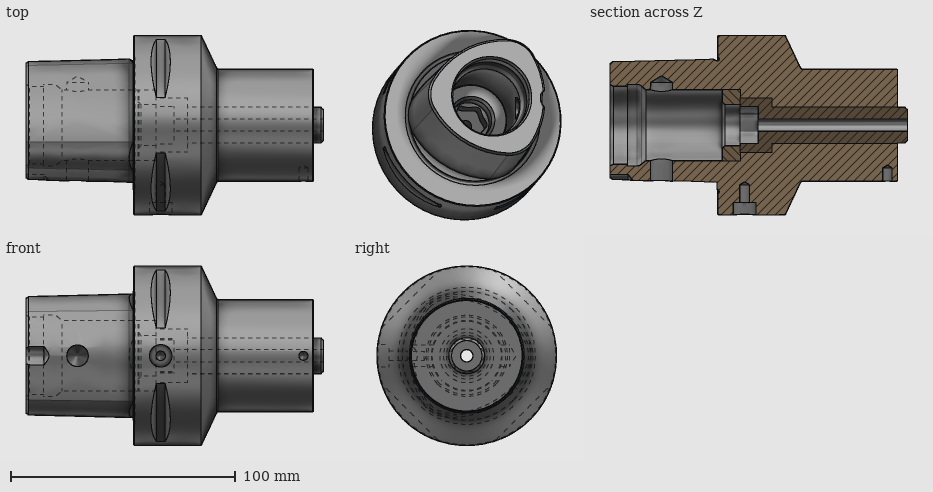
import cadquery as cq
import math

SHANK_END = 46.0
FLANGE_FACE = 48.0
FLANGE_BACK = 78.0
CONE_END = 84.8
NOSE_FACE = 128.0
BOLT_END = 132.5

SHANK_WIDTH = 55.0
LOBE_RISE = 2.0
SHANK_TAPER = 0.05
SHANK_CHAMFER_LENGTH = 1.2
SHANK_CHAMFER_DEPTH = 0.9

FLANGE_RADIUS = 40.0
FLANGE_CHAMFER = 0.4
NOSE_RADIUS = 25.0
NOSE_CHAMFER = 0.4
CONE_FOOT_HEIGHT = 0.6
CONE_FOOT_LENGTH = 0.7

ROOT_RING_RADIUS = 28.6
ROOT_RING_FACE = 47.6
NECK_TIP_RADIUS = SHANK_WIDTH / 2 + LOBE_RISE
RELIEF_RADIUS = 1.0
RELIEF_CENTRE_RADIUS = ROOT_RING_RADIUS + RELIEF_RADIUS

MOUTH_RADIUS = 18.1
MOUTH_DEPTH = 1.7
ENTRY_RADIUS = 17.3
GROOVE_START = 7.9
GROOVE_RADIUS = 18.1
GROOVE_FILLET = 3.0
GROOVE_END = 13.2
SEAT_CONE_ANGLE = 40.0
BORE_RADIUS = 15.75

RING_FACE = 50.0
RING_LENGTH = 8.0
RING_BACK = RING_FACE + RING_LENGTH
RING_EDGE_CHAMFER = 0.35
RING_HOLE_RADIUS = 9.1
RING_HOLE_CHAMFER = 1.25

HEAD_RADIUS = 12.0
HEAD_LENGTH = 14.0
HEAD_BACK = RING_BACK + HEAD_LENGTH
STEM_RADIUS = 8.0
STEM_CHAMFER = 1.25
COOLANT_RADIUS = 2.7
SOCKET_MEAN_RADIUS = 7.7
SOCKET_WAVE = 0.6
SOCKET_LOBES = 6
SOCKET_DEPTH = 8.0
BOLT_TURN = 65.0

GRIP_X = 60.0
GRIP_FLOOR_DISTANCE = 35.6
GRIP_FLOOR_WIDTH = 3.9
GRIP_WALL_ANGLE = 28.0
GRIP_COUNT = 4

DRILL_TIP_ANGLE = 118.0
CROSS_HOLE_X = 23.0
CROSS_HOLE_RADIUS = 4.8
CROSS_HOLE_END_Y = 19.0
POCKET_RADIUS = 5.0
POCKET_DEPTH = 5.5
PILOT_RADIUS = 2.1
PILOT_DEPTH = 8.0
NOSE_HOLE_X = 123.5
NOSE_HOLE_RADIUS = 2.0
NOSE_HOLE_DEPTH = 6.0

NOTCH_RADIUS = 4.8
NOTCH_Y = -26.8
NOTCH_LENGTH = 8.1
NOTCH_TIP_ANGLE = 100.0


def turned(profile):
    """Revolve a closed (x, radius) sketch in the XZ plane about the X axis."""
    return profile.close().revolve(360, (0, 0, 0), (1, 0, 0))


def turned_points(points):
    return turned(cq.Workplane("XZ").polyline(points))


def ring_edge(x, radius):
    """Selector for the circular edges of about this radius lying in the plane at x."""
    margin = 0.1
    half_box = radius + margin
    return cq.selectors.BoxSelector(
        (x - margin, -half_box, -half_box),
        (x + margin, half_box, half_box),
        boundingbox=True,
    )


def lobed_outline(plane, width):
    """Constant-width outline with three lobes, the first pointing to +Y."""
    lobe_centre = 2 * LOBE_RISE / (2 - math.sqrt(3))
    lobe_radius = width / 2 + LOBE_RISE - lobe_centre
    flank_distance = width / 2 - LOBE_RISE

    def polar(radius, degrees):
        angle = math.radians(degrees)
        return (radius * math.cos(angle), radius * math.sin(angle))

    def on_lobe(axis, degrees):
        centre = polar(lobe_centre, axis)
        offset = polar(lobe_radius, degrees)
        return (centre[0] + offset[0], centre[1] + offset[1])

    outline = plane.moveTo(*on_lobe(0, -30))
    for axis in (0, 120, 240):
        outline = outline.threePointArc(on_lobe(axis, axis), on_lobe(axis, axis + 30))
        outline = outline.threePointArc(polar(flank_distance, axis + 60), on_lobe(axis + 120, axis + 90))
    return outline.close()


def lobed_frustum(start, start_width, end, end_width):
    front = lobed_outline(cq.Workplane("YZ").workplane(offset=start), start_width)
    return lobed_outline(front.workplane(offset=end - start), end_width).loft(ruled=True)


def drill(radius, length, tip_angle=DRILL_TIP_ANGLE):
    """Drill along +Z from the origin: full diameter for `length`, then a cone."""
    tip = radius / math.tan(math.radians(tip_angle / 2))
    outline = cq.Workplane("XZ").polyline([(0, 0), (radius, 0), (radius, length), (0, length + tip)])
    return outline.close().revolve(360, (0, 0, 0), (0, 1, 0))


def drill_from_front(radius, length, x, y):
    """Drill pointing to +Y, starting at (x, y)."""
    return drill(radius, length).rotate((0, 0, 0), (1, 0, 0), -90).translate((x, y, 0))


def shank():
    """Tapered shank with a chamfered face and a neck whose lobes blend into the root ring."""
    face_width = SHANK_WIDTH - SHANK_TAPER * SHANK_END
    chamfer_width = face_width + SHANK_TAPER * SHANK_CHAMFER_LENGTH
    nose = lobed_frustum(0, chamfer_width - 2 * SHANK_CHAMFER_DEPTH, SHANK_CHAMFER_LENGTH, chamfer_width)
    taper = lobed_frustum(SHANK_CHAMFER_LENGTH, chamfer_width, SHANK_END, SHANK_WIDTH)
    neck = lobed_frustum(SHANK_END, SHANK_WIDTH, FLANGE_FACE, SHANK_WIDTH)
    neck_limit = turned_points([
        (SHANK_END, 0),
        (SHANK_END, NECK_TIP_RADIUS),
        (ROOT_RING_FACE, ROOT_RING_RADIUS),
        (FLANGE_FACE, ROOT_RING_RADIUS),
        (FLANGE_FACE, 0),
    ])
    return nose.union(taper).union(neck.intersect(neck_limit))


def flange_and_nose():
    """Flange, cone and nose, with the relief groove and raised ring on the flange face."""
    body = turned_points([
        (FLANGE_FACE, 0),
        (FLANGE_FACE, FLANGE_RADIUS - FLANGE_CHAMFER),
        (FLANGE_FACE + FLANGE_CHAMFER, FLANGE_RADIUS),
        (FLANGE_BACK, FLANGE_RADIUS),
        (CONE_END, NOSE_RADIUS + CONE_FOOT_HEIGHT),
        (CONE_END + CONE_FOOT_LENGTH, NOSE_RADIUS),
        (NOSE_FACE - NOSE_CHAMFER, NOSE_RADIUS),
        (NOSE_FACE, NOSE_RADIUS - NOSE_CHAMFER),
        (NOSE_FACE, 0),
    ])
    root_ring = cq.Workplane("YZ").workplane(offset=ROOT_RING_FACE).circle(ROOT_RING_RADIUS)
    root_ring = root_ring.extrude(FLANGE_FACE - ROOT_RING_FACE)
    relief = turned(
        cq.Workplane("XZ")
        .moveTo(ROOT_RING_FACE, RELIEF_CENTRE_RADIUS - RELIEF_RADIUS)
        .threePointArc(
            (ROOT_RING_FACE + RELIEF_RADIUS, RELIEF_CENTRE_RADIUS),
            (ROOT_RING_FACE, RELIEF_CENTRE_RADIUS + RELIEF_RADIUS),
        )
    )
    return body.cut(relief).union(root_ring)


def bore():
    """Stepped bore: shank mouth, rounded groove, ring seat, bolt head pocket and stem hole."""
    cone_length = (GROOVE_RADIUS - BORE_RADIUS) / math.tan(math.radians(SEAT_CONE_ANGLE))
    cavity = turned_points([
        (0, 0),
        (0, MOUTH_RADIUS),
        (MOUTH_DEPTH, ENTRY_RADIUS),
        (GROOVE_START, ENTRY_RADIUS),
        (GROOVE_START, GROOVE_RADIUS),
        (GROOVE_END, GROOVE_RADIUS),
        (GROOVE_END + cone_length, BORE_RADIUS),
        (RING_BACK, BORE_RADIUS),
        (RING_BACK, HEAD_RADIUS),
        (HEAD_BACK, HEAD_RADIUS),
        (HEAD_BACK, STEM_RADIUS),
        (NOSE_FACE, STEM_RADIUS),
        (NOSE_FACE, 0),
    ])
    return cavity.edges(ring_edge(GROOVE_END, GROOVE_RADIUS)).fillet(GROOVE_FILLET)


def grip_grooves():
    """Straight grooves with sloping walls, spaced evenly around the flange at 45 degrees to Y and Z."""
    depth = FLANGE_RADIUS - GRIP_FLOOR_DISTANCE
    floor_half = GRIP_FLOOR_WIDTH / 2
    top_half = floor_half + depth * math.tan(math.radians(GRIP_WALL_ANGLE))
    section = cq.Workplane("XZ").polyline([
        (GRIP_X - floor_half, GRIP_FLOOR_DISTANCE),
        (GRIP_X + floor_half, GRIP_FLOOR_DISTANCE),
        (GRIP_X + top_half, FLANGE_RADIUS),
        (GRIP_X - top_half, FLANGE_RADIUS),
    ]).close()
    groove = section.extrude(FLANGE_RADIUS / 2, both=True)
    step = 360 / GRIP_COUNT
    return [groove.rotate((0, 0, 0), (1, 0, 0), step * (i + 0.5)) for i in range(GRIP_COUNT)]


def front_holes():
    """Cross hole through the shank bore, flange pocket with its pilot hole, and a small nose hole."""
    pocket = cq.Workplane("XZ", origin=(GRIP_X, -FLANGE_RADIUS, 0)).circle(POCKET_RADIUS)
    cross_start_y = -SHANK_WIDTH / 2
    cross_length = CROSS_HOLE_END_Y - cross_start_y
    return [
        drill_from_front(CROSS_HOLE_RADIUS, cross_length, CROSS_HOLE_X, cross_start_y),
        pocket.extrude(-POCKET_DEPTH),
        drill_from_front(PILOT_RADIUS, PILOT_DEPTH, GRIP_X, POCKET_DEPTH - FLANGE_RADIUS),
        drill_from_front(NOSE_HOLE_RADIUS, NOSE_HOLE_DEPTH, NOSE_HOLE_X, -NOSE_RADIUS),
    ]


def orientation_notch():
    cutter = drill(NOTCH_RADIUS, NOTCH_LENGTH, NOTCH_TIP_ANGLE)
    return cutter.rotate((0, 0, 0), (0, 1, 0), 90).translate((0, NOTCH_Y, 0))


def make_housing():
    body = flange_and_nose().union(shank()).cut(bore())
    for cutter in [*grip_grooves(), *front_holes(), orientation_notch()]:
        body = body.cut(cutter)
    return body


def make_retaining_ring():
    """Ring filling the bore, chamfered at the front of its hole and of its rim."""
    return turned_points([
        (RING_FACE, RING_HOLE_RADIUS + RING_HOLE_CHAMFER),
        (RING_FACE, BORE_RADIUS - RING_EDGE_CHAMFER),
        (RING_FACE + RING_EDGE_CHAMFER, BORE_RADIUS),
        (RING_BACK, BORE_RADIUS),
        (RING_BACK, RING_HOLE_RADIUS),
        (RING_FACE + RING_HOLE_CHAMFER, RING_HOLE_RADIUS),
    ])


def socket_outline(plane):
    """Smooth closed wave through the crest and the trough of every lobe."""
    points = []
    for i in range(2 * SOCKET_LOBES):
        angle = math.pi * i / SOCKET_LOBES
        radius = SOCKET_MEAN_RADIUS + SOCKET_WAVE * (-1) ** i
        points.append((radius * math.cos(angle), radius * math.sin(angle)))
    return plane.spline(points, periodic=True).close()


def make_bolt():
    """Bolt with a lobed socket and a coolant hole, turned about its axis."""
    body = turned_points([
        (RING_BACK, COOLANT_RADIUS),
        (RING_BACK, HEAD_RADIUS),
        (HEAD_BACK, HEAD_RADIUS),
        (HEAD_BACK, STEM_RADIUS),
        (BOLT_END - STEM_CHAMFER, STEM_RADIUS),
        (BOLT_END, STEM_RADIUS - STEM_CHAMFER),
        (BOLT_END, COOLANT_RADIUS),
    ])
    socket = socket_outline(cq.Workplane("YZ").workplane(offset=RING_BACK))
    body = body.cut(socket.extrude(SOCKET_DEPTH))
    return body.rotate((0, 0, 0), (1, 0, 0), BOLT_TURN)


housing = make_housing()
retaining_ring = make_retaining_ring()
bolt = make_bolt()

result = cq.Compound.makeCompound([housing.val(), retaining_ring.val(), bolt.val()])